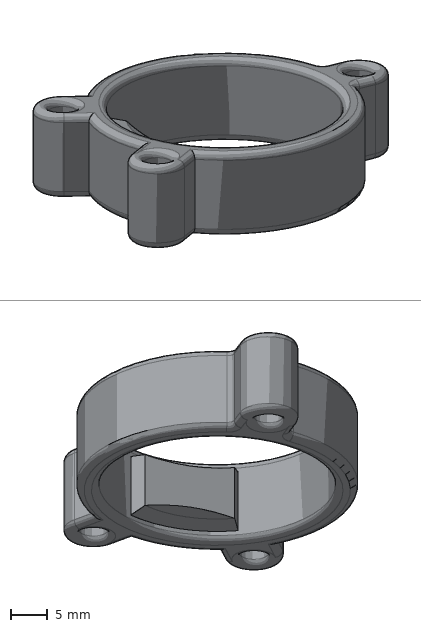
import cadquery as cq
import math

LENGTH = 48.7
HEIGHT = 12.0

EYELET_HOLE_R = 4.0 / 2
EYELET_WALL = EYELET_HOLE_R
EYELET_OUTER_R = EYELET_HOLE_R + EYELET_WALL
EDGE_ROUND = EYELET_WALL / 2
EYELET_PITCH_R = 21.95
FRONT_EYELET_Y = EYELET_PITCH_R + 2 * EYELET_OUTER_R - LENGTH
FRONT_EYELET_ANGLE = math.degrees(math.acos(-FRONT_EYELET_Y / EYELET_PITCH_R))
EYELET_ANGLES = (0, 180 - FRONT_EYELET_ANGLE, 180 + FRONT_EYELET_ANGLE)
NECK_FILLET = EDGE_ROUND

RING_OUTER_R = 38.0 / 2
RING_INNER_R = 16.0

SHELF_HALF_ANGLE = 28.5
SHELF_KNEE_R = 13.4
SHELF_LIP_R = SHELF_KNEE_R * math.cos(math.radians(SHELF_HALF_ANGLE))
SHELF_WALL_Z = 10.4
SHELF_KNEE_Z = 9.85
SHELF_LIP_Z = 9.1


def turned(shape, angle):
    """The shape turned about the ring axis."""
    return shape.rotate((0, 0, 0), (0, 0, 1), angle)


def neck_block():
    """Square-edged block along +Y, from inside the ring wall to the eyelet axis."""
    start = (RING_INNER_R + RING_OUTER_R) / 2
    length = EYELET_PITCH_R - start
    return (
        cq.Workplane("XY")
        .center(0, start + length / 2)
        .rect(2 * EYELET_OUTER_R, length)
        .extrude(HEIGHT)
    )


def eyelet_end():
    """Half turn of a slot-shaped section around the eyelet axis, on the outer side of the neck."""
    wall_middle_r = EYELET_HOLE_R + EYELET_WALL / 2
    return (
        cq.Workplane("XZ")
        .center(wall_middle_r, HEIGHT / 2)
        .slot2D(HEIGHT, EYELET_WALL, 90)
        .revolve(180, (-wall_middle_r, 0, 0), (-wall_middle_r, 1, 0))
        .translate((0, EYELET_PITCH_R, 0))
    )


def flared_hole(bore_r):
    """Cutter for a vertical bore whose two mouths open out in a quarter round."""
    mouth_r = bore_r + EDGE_ROUND
    return (
        cq.Workplane("XZ")
        .lineTo(mouth_r, 0)
        .radiusArc((bore_r, EDGE_ROUND), EDGE_ROUND)
        .lineTo(bore_r, HEIGHT - EDGE_ROUND)
        .radiusArc((mouth_r, HEIGHT), EDGE_ROUND)
        .lineTo(0, HEIGHT)
        .close()
        .revolve(360, (0, 0, 0), (0, 1, 0))
    )


def make_ring():
    body = cq.Workplane("XY").circle(RING_OUTER_R).extrude(HEIGHT)
    for angle in EYELET_ANGLES:
        body = body.union(turned(neck_block(), angle))

    back_corners = cq.selectors.BoxSelector(
        (-2 * EYELET_OUTER_R, RING_INNER_R, 0),
        (2 * EYELET_OUTER_R, RING_OUTER_R, HEIGHT),
    )
    body = body.edges("|Z").edges(back_corners).fillet(NECK_FILLET)

    neck_end_limit = EYELET_PITCH_R - EDGE_ROUND
    rims = body.faces("<Z or >Z").edges().filter(
        lambda edge: math.hypot(edge.Center().x, edge.Center().y) < neck_end_limit
    )
    body = rims.fillet(EDGE_ROUND)

    body = body.cut(flared_hole(RING_INNER_R))
    for angle in EYELET_ANGLES:
        body = body.cut(turned(flared_hole(EYELET_HOLE_R).translate((0, EYELET_PITCH_R, 0)), angle))
        body = body.union(turned(eyelet_end(), angle))
    return body


def make_shelf():
    sector = (
        cq.Workplane("XZ")
        .moveTo(SHELF_LIP_R, SHELF_LIP_Z)
        .lineTo(SHELF_KNEE_R, SHELF_KNEE_Z)
        .lineTo(RING_INNER_R, SHELF_WALL_Z)
        .lineTo(RING_INNER_R, HEIGHT - SHELF_WALL_Z)
        .lineTo(SHELF_KNEE_R, HEIGHT - SHELF_KNEE_Z)
        .lineTo(SHELF_LIP_R, HEIGHT - SHELF_LIP_Z)
        .close()
        .revolve(2 * SHELF_HALF_ANGLE, (0, 0, 0), (0, 1, 0))
    )
    in_front = (
        cq.Workplane("XY")
        .center(0, -SHELF_LIP_R - RING_OUTER_R)
        .rect(2 * RING_OUTER_R, 2 * RING_OUTER_R)
        .extrude(HEIGHT)
    )
    return turned(sector, -90 - SHELF_HALF_ANGLE).intersect(in_front)


ring = make_ring()
shelf = make_shelf()
result = cq.Compound.makeCompound([ring.solids().val(), shelf.solids().val()])